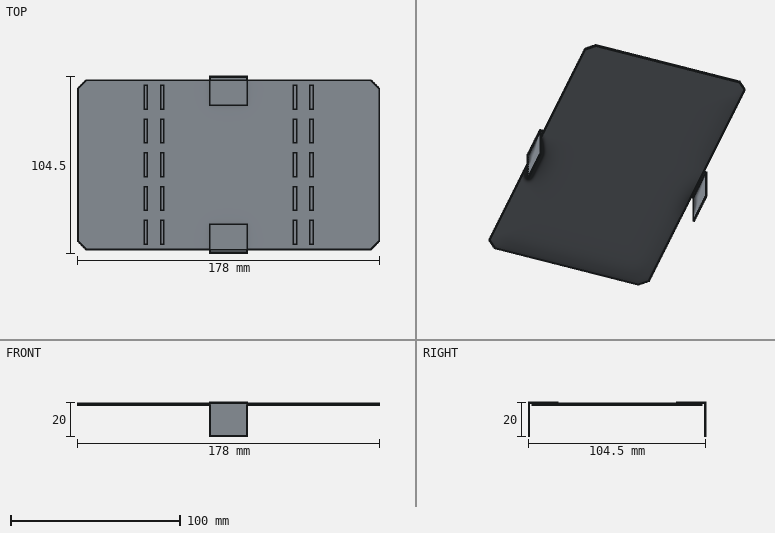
import cadquery as cq

plate_length = 178.0
plate_width = 100.0
plate_thickness = 1.0
corner_chamfer = 5.0

slot_width = 2.0
slot_length = 14.0
slot_depth = 0.1
slot_pitch = 20.0
slots_per_column = 5
column_offsets = (39.2, 49.0)

clip_width = 22.0
clip_sheet = 0.5
clip_height = 20.0
clip_tab_length = 17.0
clip_span = 104.5
clip_top = plate_thickness + clip_sheet


def make_plate():
    blank = cq.Workplane("XY").box(plate_length, plate_width, plate_thickness, centered=(True, True, False))
    return blank.edges("|Z").chamfer(corner_chamfer)


def cut_slots(plate):
    column_positions = [side * offset for side in (-1, 1) for offset in column_offsets]
    row_positions = [(row - (slots_per_column - 1) / 2) * slot_pitch for row in range(slots_per_column)]
    slot_centers = [(x, y) for x in column_positions for y in row_positions]
    slots = (
        cq.Workplane("XY")
        .workplane(offset=plate_thickness - slot_depth)
        .pushPoints(slot_centers)
        .rect(slot_width, slot_length)
        .extrude(slot_depth)
    )
    return plate.cut(slots)


def make_clip(side):
    """L-shaped clip on the +Y (side = 1) or -Y (side = -1) edge of the plate."""
    outer_y = side * clip_span / 2
    leg_inner_y = outer_y - side * clip_sheet
    tab_end_y = outer_y - side * clip_tab_length
    leg_bottom = clip_top - clip_height
    profile = [
        (outer_y, leg_bottom),
        (outer_y, clip_top),
        (tab_end_y, clip_top),
        (tab_end_y, plate_thickness),
        (leg_inner_y, plate_thickness),
        (leg_inner_y, leg_bottom),
    ]
    return cq.Workplane("YZ").polyline(profile).close().extrude(clip_width / 2, both=True)


plate = cut_slots(make_plate())
clips = [make_clip(side) for side in (-1, 1)]

result = cq.Compound.makeCompound([plate.val(), *[clip.val() for clip in clips]])